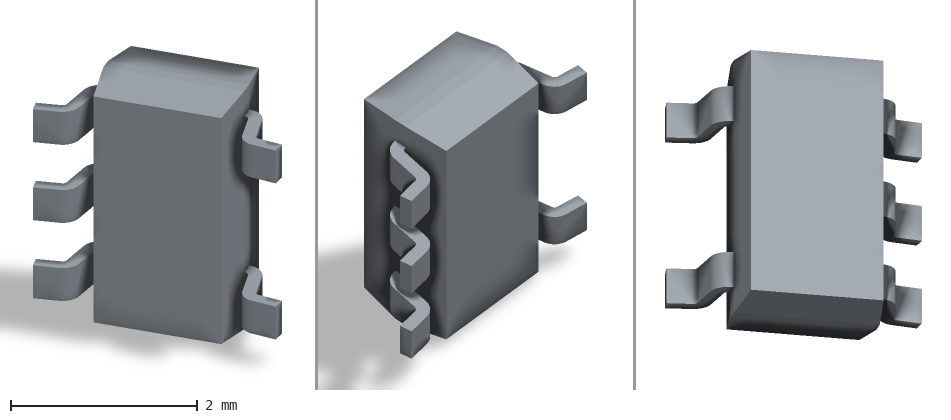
import cadquery as cq
import math

body_width = 1.6
body_depth = 1.2
body_height = 2.9
taper_angle = 8.0

lead_thickness = 0.15
lead_width = 0.4
lead_pitch = 0.95
foot_drop = 0.1
foot_length = 0.285
upper_inner_radius = 0.065
lower_inner_radius = 0.05
leg_angle = 80.0
foot_angle = 8.0
upper_outer_radius = upper_inner_radius + lead_thickness
lower_outer_radius = lower_inner_radius + lead_thickness
middle_angle = (leg_angle + foot_angle) / 2

left_rows = [-1, 0, 1]
right_rows = [-1, 1]


def step(start, direction, distance):
    """Point reached from start by moving a distance along a unit direction."""
    return (start[0] + distance * direction[0], start[1] + distance * direction[1])


def along(angle):
    """Unit direction outward along a strip that slopes down by angle."""
    return (-math.cos(math.radians(angle)), -math.sin(math.radians(angle)))


def normal(angle):
    """Unit direction out of the upper face of a strip that slopes down by angle."""
    return (-math.sin(math.radians(angle)), math.cos(math.radians(angle)))


def make_housing():
    taper_depth = (body_depth - lead_thickness) / 2
    band = cq.Workplane("XY").box(body_width, lead_thickness, body_height)
    front_block = (
        cq.Workplane("XZ", origin=(0, -lead_thickness / 2, 0))
        .rect(body_width, body_height)
        .extrude(taper_depth, taper=taper_angle)
    )
    back_block = front_block.mirror("XZ")
    return band.union(front_block).union(back_block)


def make_left_lead(height):
    """Lead on the -X side, centred at the given height."""
    bend_spacing = upper_outer_radius + lower_inner_radius
    upper_bend = (-body_width / 2, lead_thickness / 2 - upper_outer_radius)
    foot_tip_y = -body_depth / 2 - foot_drop

    foot_rise = step(
        step((0, 0), normal(foot_angle), -lower_outer_radius), along(foot_angle), foot_length
    )[1]
    lower_y = foot_tip_y - foot_rise
    leg_length = (lower_y - upper_bend[1] - bend_spacing * normal(leg_angle)[1]) / along(leg_angle)[1]

    leg_end = step(upper_bend, along(leg_angle), leg_length)
    lower_bend = step(leg_end, normal(leg_angle), bend_spacing)

    def upper(angle, radius):
        return step(upper_bend, normal(angle), radius)

    def lower(angle, radius):
        return step(lower_bend, normal(angle), -radius)

    return (
        cq.Workplane("XY", origin=(0, 0, height - lead_width / 2))
        .moveTo(-body_width / 2, lead_thickness / 2)
        .threePointArc(upper(leg_angle / 2, upper_outer_radius), upper(leg_angle, upper_outer_radius))
        .lineTo(*lower(leg_angle, lower_inner_radius))
        .threePointArc(lower(middle_angle, lower_inner_radius), lower(foot_angle, lower_inner_radius))
        .lineTo(*step(lower(foot_angle, lower_inner_radius), along(foot_angle), foot_length))
        .lineTo(*step(lower(foot_angle, lower_outer_radius), along(foot_angle), foot_length))
        .lineTo(*lower(foot_angle, lower_outer_radius))
        .threePointArc(lower(middle_angle, lower_outer_radius), lower(leg_angle, lower_outer_radius))
        .lineTo(*upper(leg_angle, upper_inner_radius))
        .threePointArc(upper(leg_angle / 2, upper_inner_radius), upper(0, upper_inner_radius))
        .close()
        .extrude(lead_width)
    )


housing = make_housing()
left_leads = [make_left_lead(row * lead_pitch) for row in left_rows]
right_leads = [make_left_lead(row * lead_pitch).mirror("YZ") for row in right_rows]

result = cq.Compound.makeCompound([housing.val()] + [lead.val() for lead in left_leads + right_leads])